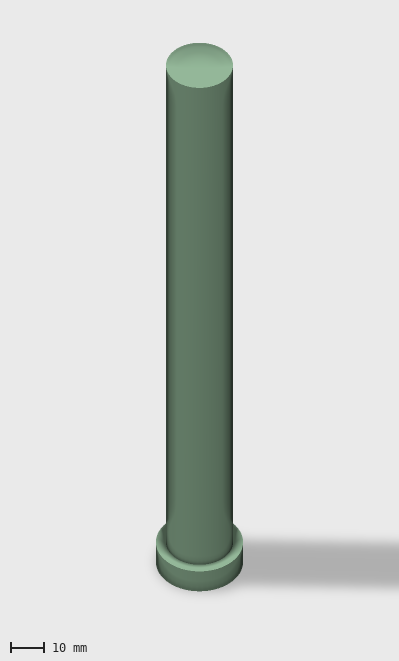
import cadquery as cq

total_length = 200.0
shank_diameter = 20.0
head_diameter = 26.0
head_height = 8.0

head = cq.Workplane("XY").circle(head_diameter / 2).extrude(head_height)
shank = cq.Workplane("XY").circle(shank_diameter / 2).extrude(total_length)

result = head.union(shank)